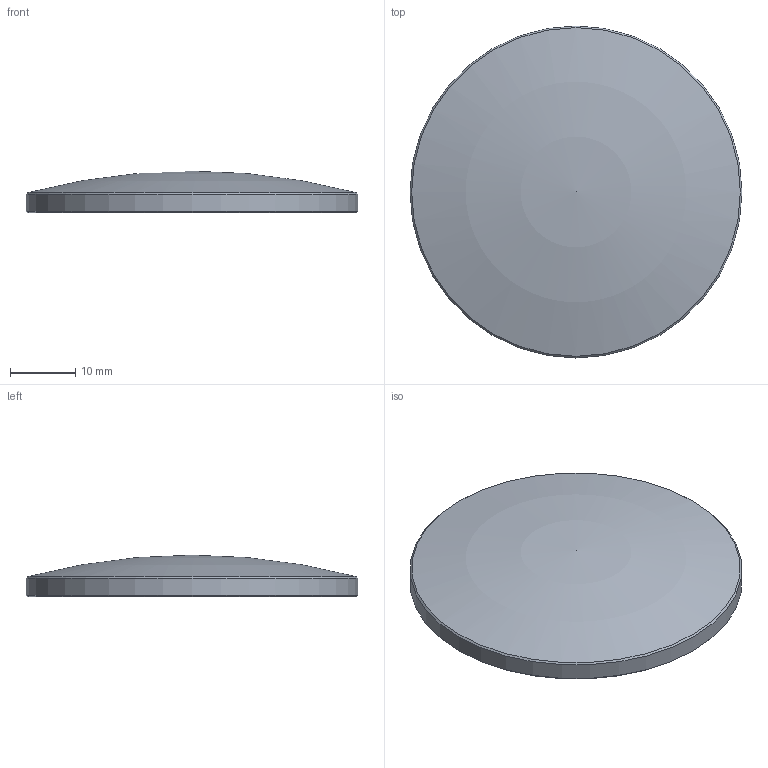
import cadquery as cq
import math

diameter = 50.8
centre_thickness = 6.37
edge_thickness = 3.0
bevel = 0.25

edge_radius = diameter / 2
full_sag = centre_thickness - edge_thickness
surface_radius = (edge_radius**2 + full_sag**2) / (2 * full_sag)
face_radius = edge_radius - bevel


def dome_height(distance):
    """Height of the spherical face at a distance from the axis."""
    sag = surface_radius - math.sqrt(surface_radius**2 - distance**2)
    return centre_thickness - sag


def lens_half_profile():
    """Half section in the XZ plane, from the axis out to the bevelled rim."""
    dome_rim_height = dome_height(face_radius)
    arc_middle = face_radius / 2
    return (
        cq.Workplane("XZ")
        .lineTo(face_radius, 0)
        .lineTo(edge_radius, bevel)
        .lineTo(edge_radius, dome_rim_height - bevel)
        .lineTo(face_radius, dome_rim_height)
        .threePointArc((arc_middle, dome_height(arc_middle)), (0, centre_thickness))
        .close()
    )


result = lens_half_profile().revolve(360, (0, 0, 0), (0, 1, 0))